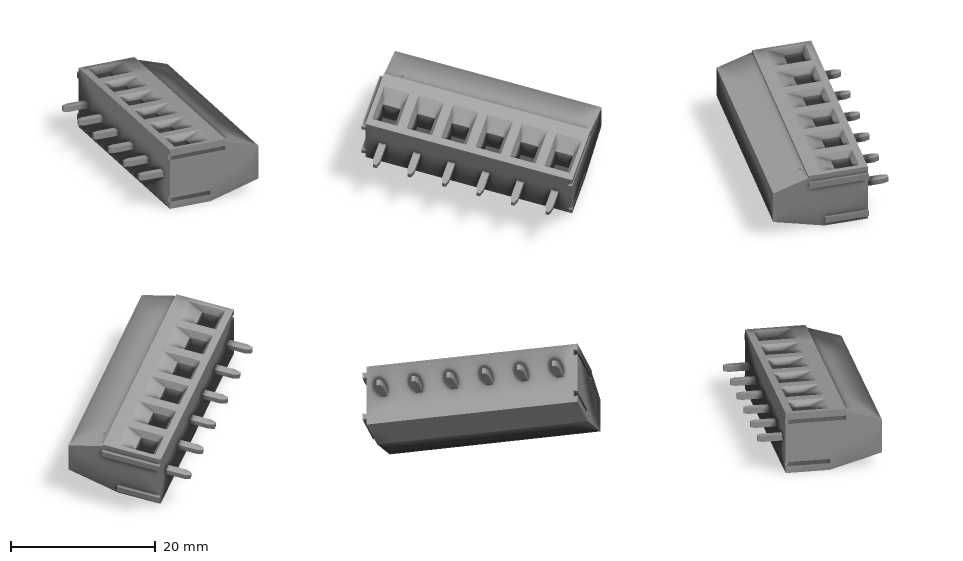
import cadquery as cq


pole_count = 6
rail_height = 0.58
overall_length = 30.57
overall_depth = 17.1
length = overall_length - rail_height
pitch = length / pole_count
height = 9.0
pin_length = 3.55
depth = overall_depth - pin_length
top_land_depth = 8.5
bottom_land_depth = 6.2
step_height = 0.35
rear_top_drop = 2.02
rear_top_z = height - rear_top_drop
rear_bottom_z = 2.05

rail_inset = 1.3
rail_outer_width = 0.98
rail_root_width = 0.6

mouth_width = 3.7
mouth_depth = 5.5
mouth_front_y = 1.05
funnel_side_inset = 0.55
funnel_rear_inset = 2.3
funnel_height = 0.9
pocket_floor_z = height / 2

pin_width = 1.0
pin_thickness = 0.83
pin_tip_width = 0.5
pin_tip_length = 0.75

mark_width = 0.5
mark_height = 0.45
mark_gap = 0.45
mark_engraving = 0.1

pole_centers = [(pole + 0.5) * pitch for pole in range(pole_count)]


def make_housing():
    return (
        cq.Workplane("YZ")
        .polyline([
            (0, 0),
            (bottom_land_depth, 0),
            (depth, rear_bottom_z),
            (depth, rear_top_z),
            (top_land_depth, height - step_height),
            (top_land_depth, height),
            (0, height),
        ])
        .close()
        .extrude(length)
    )


def make_dovetail(base_x, center_z, run):
    """Bar along Y that stands on the plane X = base_x and widens towards -X."""
    outer_x = base_x - rail_height
    return (
        cq.Workplane("XZ")
        .polyline([
            (base_x, center_z - rail_root_width / 2),
            (outer_x, center_z - rail_outer_width / 2),
            (outer_x, center_z + rail_outer_width / 2),
            (base_x, center_z + rail_root_width / 2),
        ])
        .close()
        .extrude(-run)
    )


def make_pocket(center_x):
    """Tapered funnel that leads into a straight-walled throat."""
    throat_width = mouth_width - 2 * funnel_side_inset
    throat_depth = mouth_depth - funnel_side_inset - funnel_rear_inset
    throat_center_y = mouth_front_y + funnel_side_inset + throat_depth / 2
    mouth_center_y = mouth_front_y + mouth_depth / 2
    throat_top_z = height - funnel_height
    funnel = (
        cq.Workplane("XY", origin=(center_x, mouth_center_y, height))
        .rect(mouth_width, mouth_depth)
        .workplane(offset=-funnel_height)
        .center(0, throat_center_y - mouth_center_y)
        .rect(throat_width, throat_depth)
        .loft(ruled=True)
    )
    throat = (
        cq.Workplane("XY", origin=(center_x, throat_center_y, pocket_floor_z))
        .rect(throat_width, throat_depth)
        .extrude(throat_top_z - pocket_floor_z)
    )
    return funnel.union(throat)


def make_pin(center_x):
    """Flat pin with a tip tapered in its width."""
    taper_start_y = pin_tip_length - pin_length
    return (
        cq.Workplane("XY", origin=(center_x, 0, (height - pin_thickness) / 2))
        .polyline([
            (-pin_width / 2, 0),
            (-pin_width / 2, taper_start_y),
            (-pin_tip_width / 2, -pin_length),
            (pin_tip_width / 2, -pin_length),
            (pin_width / 2, taper_start_y),
            (pin_width / 2, 0),
        ])
        .close()
        .extrude(pin_thickness)
    )


def make_pole_mark(housing):
    """Triangular prism that reaches a short way below the upper slope of the housing."""
    base_y = top_land_depth + mark_gap
    half_width = mark_width / 2
    prism = (
        cq.Workplane("XY")
        .polyline([
            (pole_centers[0] - half_width, base_y),
            (pole_centers[0] + half_width, base_y),
            (pole_centers[0], base_y + mark_height),
        ])
        .close()
        .extrude(height)
    )
    return prism.cut(housing.translate((0, 0, -mark_engraving)))


housing = make_housing()
result = housing.cut(make_pole_mark(housing))

dovetails = [(rail_inset, bottom_land_depth), (height - rail_inset, top_land_depth)]
for center_z, run in dovetails:
    result = result.union(make_dovetail(0, center_z, run))
    result = result.cut(make_dovetail(length, center_z, run))

for center_x in pole_centers:
    result = result.cut(make_pocket(center_x))
    result = result.union(make_pin(center_x))